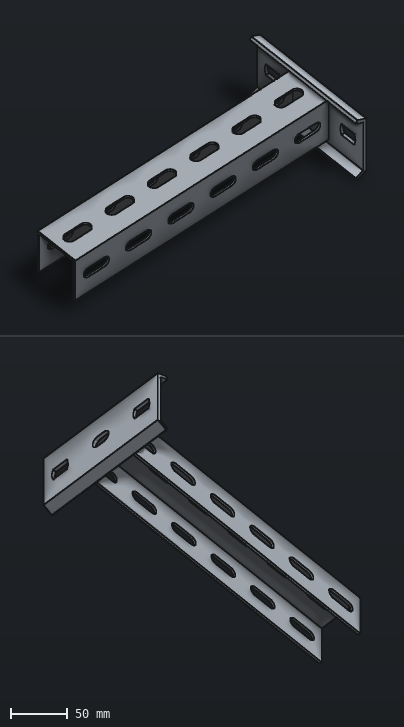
import cadquery as cq
import math

TOTAL_LENGTH = 304.0

PLATE_WIDTH = 140.0
PLATE_HEIGHT = 75.0
PLATE_THICKNESS = 4.0
PLATE_DEPTH = 12.5
FLANGE_ANGLE = 25.0

HOLE_LENGTH = 19.8
HOLE_HEIGHT = 13.5
SIDE_HOLE_OFFSET = 50.0
SIDE_HOLE_BULGE = 1.5

CHANNEL_WIDTH = 50.0
CHANNEL_HEIGHT = 50.0
SHEET_THICKNESS = 2.5
CHANNEL_LENGTH = TOTAL_LENGTH - PLATE_THICKNESS

SLOT_COUNT = 6
SLOT_LENGTH = 30.0
SLOT_WIDTH = 11.2
SLOT_PITCH = CHANNEL_LENGTH / SLOT_COUNT

PLATE_BACK = PLATE_THICKNESS
FLANGE_TIP = PLATE_BACK - PLATE_DEPTH


def plate_blank():
    """Bent sheet profile in the YZ plane, extruded along the plate width."""
    slope = math.radians(FLANGE_ANGLE)
    tip_setback = PLATE_THICKNESS * math.sin(slope)
    tip_drop = PLATE_THICKNESS * math.cos(slope)
    flange_rise = (PLATE_DEPTH - tip_setback) * math.tan(slope)

    tip_z = PLATE_HEIGHT / 2
    outer_bend_z = tip_z - flange_rise
    inner_bend_z = outer_bend_z - PLATE_THICKNESS * math.tan((math.pi / 2 - slope) / 2)

    upper_half = [
        (0, inner_bend_z),
        (FLANGE_TIP, tip_z - tip_drop),
        (FLANGE_TIP + tip_setback, tip_z),
        (PLATE_BACK, outer_bend_z),
    ]
    lower_half = [(y, -z) for y, z in reversed(upper_half)]
    profile = cq.Workplane("YZ").polyline(upper_half + lower_half).close()
    return profile.extrude(PLATE_WIDTH / 2, both=True)


def bowed_hole(center_x):
    """Hole with flat top and bottom and shallow outward-bowed ends."""
    half_length = HOLE_LENGTH / 2
    half_flat = half_length - SIDE_HOLE_BULGE
    half_height = HOLE_HEIGHT / 2
    return (
        cq.Workplane("XZ")
        .center(center_x, 0)
        .moveTo(-half_flat, half_height)
        .lineTo(half_flat, half_height)
        .threePointArc((half_length, 0), (half_flat, -half_height))
        .lineTo(-half_flat, -half_height)
        .threePointArc((-half_length, 0), (-half_flat, half_height))
        .close()
        .extrude(PLATE_THICKNESS, both=True)
    )


def make_plate():
    plate = plate_blank()
    middle_slot = cq.Workplane("XZ").slot2D(HOLE_LENGTH, HOLE_HEIGHT).extrude(PLATE_THICKNESS, both=True)
    plate = plate.cut(middle_slot)
    for side in (-1, 1):
        plate = plate.cut(bowed_hole(side * SIDE_HOLE_OFFSET))
    return plate


def channel_blank():
    """Inverted U section running from the front of the plate towards -Y."""
    outer = cq.Workplane("XZ").rect(CHANNEL_WIDTH, CHANNEL_HEIGHT).extrude(CHANNEL_LENGTH)
    inner = (
        cq.Workplane("XZ")
        .center(0, -SHEET_THICKNESS)
        .rect(CHANNEL_WIDTH - 2 * SHEET_THICKNESS, CHANNEL_HEIGHT)
        .extrude(CHANNEL_LENGTH)
    )
    return outer.cut(inner)


def make_channel():
    channel = channel_blank()
    for index in range(SLOT_COUNT):
        slot_y = -(index + 0.5) * SLOT_PITCH
        web_slot = (
            cq.Workplane("XY")
            .center(0, slot_y)
            .slot2D(SLOT_LENGTH, SLOT_WIDTH, angle=90)
            .extrude(CHANNEL_HEIGHT)
        )
        wall_slots = (
            cq.Workplane("YZ")
            .center(slot_y, 0)
            .slot2D(SLOT_LENGTH, SLOT_WIDTH)
            .extrude(CHANNEL_WIDTH, both=True)
        )
        channel = channel.cut(web_slot).cut(wall_slots)
    return channel


plate = make_plate()
channel = make_channel()

result = cq.Compound.makeCompound([plate.val(), channel.val()])